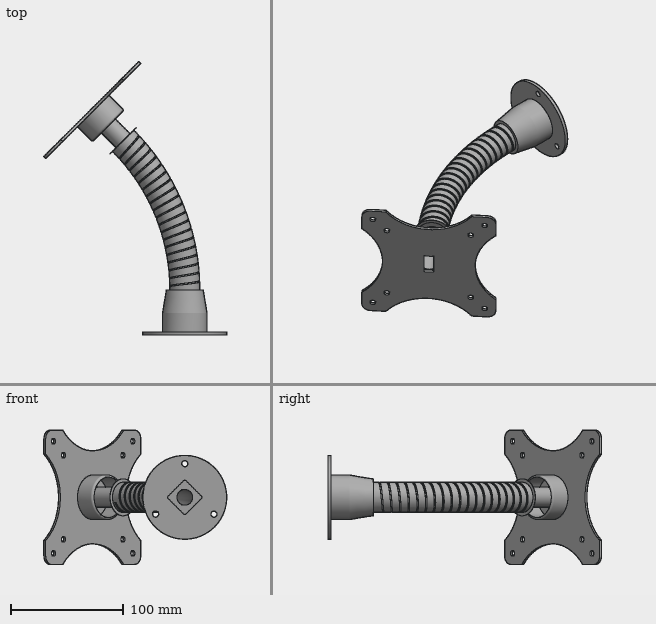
import cadquery as cq
import math

flange_diameter = 75.0
flange_thickness = 3.0
flange_hole_diameter = 5.2
flange_hole_circle = 60.0
flange_hole_count = 3
first_flange_hole_angle = 90.0
socket_side = 22.5
socket_tilt = 45.0
socket_corner_radius = 1.5
socket_depth = 3.0

collar_diameter = 40.0
collar_cylinder_length = 16.5
shoulder_length = 1.5
shoulder_diameter = 39.5
cone_length = 19.5
cone_tip_diameter = 33.0
hose_start_y = flange_thickness + collar_cylinder_length + shoulder_length + cone_length

hose_diameter = 27.0
hose_plain_end = 3.0
bend_angle = 45.0
bend_radius = 188.0
groove_turns = 19
groove_points_per_turn = 12
groove_width = 1.2
groove_depth = 0.6
groove_clearance = 0.5
groove_start_angle = 200.0
washer_diameter = 33.0
washer_thickness = 0.2

tube_diameter = 18.0
tube_bore = 14.0
tube_end_bore = 17.0
neck_length = 37.5

plate_side = 120.0
plate_thickness = 2.5
plate_corner_radius = 8.0
scallop_count = 4
scallop_half_chord = 38.5
scallop_depth = 18.5
mount_hole_diameter = 5.0
mount_hole_pitches = (75.0, 100.0)
slot_width = 8.75
slot_height = 19.0
cup_diameter = 40.0
cup_length = 19.0
cup_wall = 2.0
cup_rim_radius = 1.9

bend = math.radians(bend_angle)
groove_pitch_angle = (bend_angle - 2 * math.degrees(hose_plain_end / bend_radius)) / groove_turns


def base_plane(y):
    """Plane facing +Y on the base axis; local y is +Z."""
    return cq.Plane(origin=(0, y, 0), xDir=(-1, 0, 0), normal=(0, 1, 0))


def bend_point(angle, offset=0.0, height=0.0):
    """Point on the bend: angle along it, offset outwards from the centre line, height in Z."""
    reach = bend_radius + offset
    return cq.Vector(
        reach * math.cos(angle) - bend_radius,
        hose_start_y + reach * math.sin(angle),
        height,
    )


head_axis = cq.Vector(-math.sin(bend), math.cos(bend), 0)
across_head = cq.Vector(math.cos(bend), math.sin(bend), 0)
hose_end = bend_point(bend)


def head_plane(distance):
    """Plane facing along the head axis, at a distance beyond the hose end; local y is +Z."""
    return cq.Plane(origin=hose_end + head_axis * distance, xDir=across_head * -1, normal=head_axis)


def make_flange():
    """Round flange with its ring of screw holes."""
    flange = cq.Workplane(base_plane(0)).circle(flange_diameter / 2).extrude(flange_thickness)
    holes = (
        cq.Workplane(base_plane(0))
        .polarArray(flange_hole_circle / 2, first_flange_hole_angle, 360, flange_hole_count)
        .circle(flange_hole_diameter / 2)
        .extrude(flange_thickness)
    )
    return flange.cut(holes)


def make_collar():
    """Cylinder with a tapered shoulder, followed by the cone that holds the hose."""
    shoulder_y = flange_thickness + collar_cylinder_length
    cone_y = shoulder_y + shoulder_length
    return (
        cq.Workplane("XY")
        .moveTo(0, flange_thickness)
        .lineTo(collar_diameter / 2, flange_thickness)
        .lineTo(collar_diameter / 2, shoulder_y)
        .lineTo(shoulder_diameter / 2, cone_y)
        .lineTo(cone_tip_diameter / 2, hose_start_y)
        .lineTo(0, hose_start_y)
        .close()
        .revolve(360, (0, 0, 0), (0, 1, 0))
    )


def bend_rod(diameter):
    """Round rod following the whole bend."""
    return (
        cq.Workplane(base_plane(hose_start_y))
        .circle(diameter / 2)
        .revolve(bend_angle, (bend_radius, 0, 0), (bend_radius, 1, 0))
    )


def groove_rail(radius, shift):
    """One edge of a single groove turn: a helix on the bent hose, shifted along the bend."""
    margin = hose_plain_end + shift
    points = []
    for step in range(groove_points_per_turn + 1):
        fraction = step / groove_points_per_turn
        around = math.radians(groove_start_angle - 360 * fraction)
        along = margin / bend_radius + math.radians(groove_pitch_angle) * fraction
        points.append(bend_point(along, radius * math.cos(around), radius * math.sin(around)))
    return cq.Edge.makeSpline(points)


def make_groove_turn():
    """Cutter for the first turn of the helical groove, bounded by four ruled faces and two caps."""
    inner = hose_diameter / 2 - groove_depth
    outer = hose_diameter / 2 + groove_clearance
    half = groove_width / 2
    corners = [(outer, -half), (outer, half), (inner, half), (inner, -half)]
    rails = [groove_rail(radius, shift) for radius, shift in corners]
    faces = [cq.Face.makeRuledSurface(rail, rails[i - 1]) for i, rail in enumerate(rails)]
    for end in (0, 1):
        outline = cq.Wire.makePolygon([rail.positionAt(end) for rail in rails], close=True)
        faces.append(cq.Face.makeFromWires(outline))
    return cq.Solid.makeSolid(cq.Shell.makeShell(faces))


def make_hose():
    """Bent rod with the groove turns repeated around the bend centre."""
    turn = make_groove_turn()
    center = cq.Vector(-bend_radius, hose_start_y, 0)
    above_center = center + cq.Vector(0, 0, 1)
    turns = [turn.rotate(center, above_center, groove_pitch_angle * i) for i in range(groove_turns)]
    return cq.Workplane(bend_rod(hose_diameter).val().cut(*turns))


def make_plate():
    """Square head plate with rounded corners, four scalloped sides, mounting holes and a slot."""
    half = plate_side / 2
    scallop_radius = (scallop_half_chord**2 + scallop_depth**2) / (2 * scallop_depth)
    scallop_center = half - scallop_depth + scallop_radius
    back = cq.Workplane(head_plane(neck_length))
    plate = (
        back.rect(plate_side, plate_side)
        .extrude(plate_thickness)
        .edges("|(-1,1,0)")
        .fillet(plate_corner_radius)
    )
    scallops = back.polarArray(scallop_center, 0, 360, scallop_count).circle(scallop_radius)
    plate = plate.cut(scallops.extrude(plate_thickness))
    for pitch in mount_hole_pitches:
        corners = back.rect(pitch, pitch, forConstruction=True).vertices()
        plate = plate.cut(corners.circle(mount_hole_diameter / 2).extrude(plate_thickness))
    return plate.cut(back.rect(slot_width, slot_height).extrude(plate_thickness))


def make_cup():
    """Open cup on the back of the head plate, with a rounded outer rim."""
    return (
        cq.Workplane(head_plane(neck_length))
        .circle(cup_diameter / 2)
        .circle(cup_diameter / 2 - cup_wall)
        .extrude(-cup_length)
        .faces("<(-1,1,0)")
        .edges("%CIRCLE")
        .edges(cq.selectors.RadiusNthSelector(-1))
        .fillet(cup_rim_radius)
    )


def make_bore():
    """Passage through the collar, the hose and the neck."""
    straight = cq.Workplane(base_plane(0)).circle(tube_bore / 2).extrude(hose_start_y)
    end = cq.Workplane(head_plane(0)).circle(tube_end_bore / 2).extrude(neck_length)
    return straight.union(bend_rod(tube_bore)).union(end)


def make_socket():
    """Square recess in the flange face."""
    return (
        cq.Workplane(base_plane(0).rotated((0, 0, socket_tilt)))
        .rect(socket_side, socket_side)
        .extrude(socket_depth)
        .edges("|Y")
        .fillet(socket_corner_radius)
    )


washer = cq.Workplane(head_plane(0)).circle(washer_diameter / 2).extrude(-washer_thickness)
tube = cq.Workplane(head_plane(0)).circle(tube_diameter / 2).extrude(neck_length)

body = make_flange().union(make_collar()).union(make_hose()).union(washer).union(tube)
body = body.union(make_cup()).union(make_plate())
result = body.cut(make_bore()).cut(make_socket())